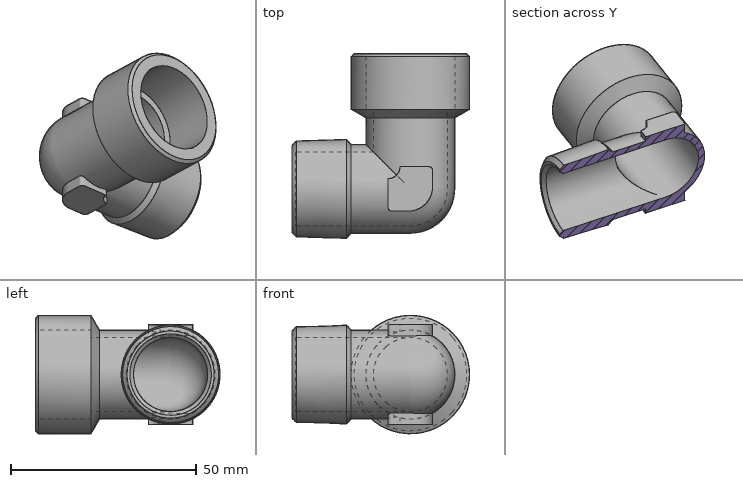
import cadquery as cq
import math


PIPE_RADIUS = 12.0
BORE_RADIUS = 10.0

MALE_END = 32.0
MALE_LENGTH = 16.0
MALE_LARGE_RADIUS = 13.38
MALE_TAPER = 1 / 16
MALE_SHOULDER_LENGTH = 1.25
MALE_OUTER_CHAMFER = 1.2
MALE_BORE_CHAMFER = 1.0

SOCKET_END = 36.5
SOCKET_LENGTH = 15.0
SOCKET_RADIUS = 16.0
SOCKET_BORE_RADIUS = 24.12 / 2
SOCKET_BORE_DEPTH = SOCKET_LENGTH
SOCKET_CHAMFER = 0.8
SOCKET_SHOULDER_ANGLE = 30.0

PAD_WIDTH = 12.0
PAD_TOP = 13.5
PAD_NOTCH_RADIUS = 3.2
PAD_OUTER_RADIUS = 6.6
PAD_CORNER_RADIUS = 1.0


def revolve_along_x(points):
    """Revolve a closed (x, radius) profile around the X axis."""
    return cq.Workplane("XY").polyline(points).close().revolve(360, (0, 0, 0), (1, 0, 0))


def revolve_along_y(points):
    """Revolve a closed (radius, y) profile around the Y axis."""
    return cq.Workplane("XY").polyline(points).close().revolve(360, (0, 0, 0), (0, 1, 0))


def male_arm():
    """Pipe along -X with a tapered end, chamfered at the face, and a short cone behind it."""
    face = -MALE_END
    taper_start = face + MALE_OUTER_CHAMFER
    back = face + MALE_LENGTH
    taper_end = back - MALE_SHOULDER_LENGTH
    small_radius = MALE_LARGE_RADIUS - (taper_end - taper_start) * MALE_TAPER / 2
    return revolve_along_x([
        (face, 0),
        (face, small_radius - MALE_OUTER_CHAMFER),
        (taper_start, small_radius),
        (taper_end, MALE_LARGE_RADIUS),
        (back, PIPE_RADIUS),
        (0, PIPE_RADIUS),
        (0, 0),
    ])


def socket_arm():
    """Pipe along +Y that widens through a conical shoulder into the socket."""
    socket_start = SOCKET_END - SOCKET_LENGTH
    shoulder_length = (SOCKET_RADIUS - PIPE_RADIUS) * math.tan(math.radians(SOCKET_SHOULDER_ANGLE))
    return revolve_along_y([
        (0, 0),
        (PIPE_RADIUS, 0),
        (PIPE_RADIUS, socket_start - shoulder_length),
        (SOCKET_RADIUS, socket_start),
        (SOCKET_RADIUS, SOCKET_END - SOCKET_CHAMFER),
        (SOCKET_RADIUS - SOCKET_CHAMFER, SOCKET_END),
        (0, SOCKET_END),
    ])


def male_bore():
    """Bore along -X with a chamfered mouth."""
    mouth_radius = BORE_RADIUS + MALE_BORE_CHAMFER
    return revolve_along_x([
        (-MALE_END, 0),
        (-MALE_END, mouth_radius),
        (-MALE_END + MALE_BORE_CHAMFER, BORE_RADIUS),
        (0, BORE_RADIUS),
        (0, 0),
    ])


def socket_bore():
    """Bore along +Y with the wider socket bore at its open end."""
    bore_floor = SOCKET_END - SOCKET_BORE_DEPTH
    return revolve_along_y([
        (0, 0),
        (BORE_RADIUS, 0),
        (BORE_RADIUS, bore_floor),
        (SOCKET_BORE_RADIUS, bore_floor),
        (SOCKET_BORE_RADIUS, SOCKET_END),
        (0, SOCKET_END),
    ])


def wrench_pads():
    """Square pads with a rounded outer corner and a round notch in the inner corner."""
    half = PAD_WIDTH / 2
    pads = cq.Workplane("XY").box(PAD_WIDTH, PAD_WIDTH, 2 * PAD_TOP)
    outer_corner = cq.selectors.NearestToPointSelector((half, -half, 0))
    pads = pads.edges(outer_corner).fillet(PAD_OUTER_RADIUS)
    for x, y in [(half, half), (-half, -half)]:
        small_corner = cq.selectors.NearestToPointSelector((x, y, 0))
        pads = pads.edges(small_corner).fillet(PAD_CORNER_RADIUS)
    notch = (
        cq.Workplane("XY")
        .center(-half, half)
        .circle(PAD_NOTCH_RADIUS)
        .extrude(PAD_TOP, both=True)
    )
    return pads.cut(notch)


body = male_arm().union(socket_arm()).union(cq.Workplane("XY").sphere(PIPE_RADIUS))
body = body.union(wrench_pads())
cavity = male_bore().union(socket_bore()).union(cq.Workplane("XY").sphere(BORE_RADIUS))
result = body.cut(cavity)